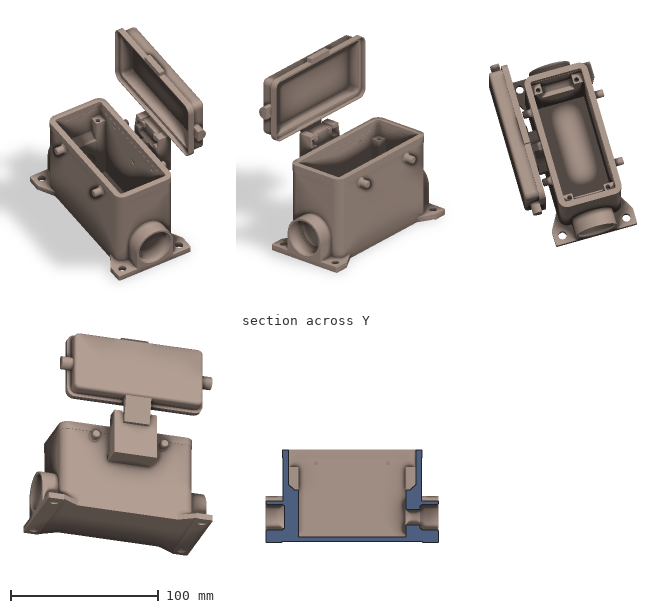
import cadquery as cq

length = 117.0
height = 123.8

foot_thickness = 4.1
foot_half_width = 28.6
foot_straight_end = 47.5
foot_taper_end = 35.8
foot_corner_radius = 1.0
underside_relief = 0.5
mount_hole_dia = 5.6
mount_hole_x = 52.6
mount_hole_y = 22.5

body_half_x = 47.0
body_half_y = 21.9
body_top = 63.1
body_corner_radius = 5.8
rim_height = 5.5
rim_overhang = 0.2
cavity_half_x = 43.2
cavity_half_y = 18.1
cavity_corner_radius = 1.5
cavity_step = 0.1
floor_top = foot_thickness

post_length = 7.0
post_width = 7.0
post_top = 51.2
post_edge_radius = 1.0
post_embed = 1.2
screw_hole_dia = 3.3
screw_hole_depth = 9.9
screw_hole_x = 38.7
screw_hole_y = 13.5
block_low_top = 35.9
block_high_top = 39.6
block_slope_run = 4.1

entry_z = 17.3
entry_radius = 14.2
bore_radius = 12.4
bore_chamfer = 0.5
bore_depth = 11.5
bore_step_radius = 11.9
bore_step_depth = 12.3
wire_hole_radius = 10.4

peg_x = 24.4
peg_z = 53.6
peg_tip_y = 28.3
peg_radius = 2.6
peg_base_radius = 3.8
peg_cone_length = 1.2
peg_tip_chamfer = 0.5
peg_rivet_radius = 1.2
hinge_rivet_radius = 1.9
hinge_rivet_z = 41.6
rivet_recess = 0.4

bracket_half_x = 15.0
bracket_back = 39.1
bracket_bottom = 36.0
bracket_top = 68.0
bracket_front_top = 29.6
bracket_front = 28.2
bracket_slope_bottom = 57.7
bracket_lip_y = 23.3
bracket_floor_top = 37.9
slab_half_x = 9.3
slab_top = 66.6
slab_front = 31.7
bracket_wall = 1.2
side_pocket_bottom = 60.0
side_pocket_top = 65.3
side_pocket_back = 34.0
stub_front = 30.2
stub_inner_x = 6.0
stub_outer_x = 9.0
stub_bottom = 62.4
stub_top = 66.1

web_top_half_x = 2.5
web_half_x = 14.7
web_top = 56.7
web_curve_start = (5.5, 49.3)
web_curve_mid = (7.4, 45.9)
web_curve_end = (10.8, 43.7)
web_side_top = 41.1

lid_z = 97.6
lid_front = 32.9
lid_back = 46.7
flange_thickness = 4.2
flange_half_x = 48.1
flange_half_z = 22.9
flange_corner_radius = 5.6
lid_half_x = 45.7
lid_half_z = 20.8
lid_corner_radius = 3.6
lid_back_fillet = 1.9
lip_width = 0.7
lip_depth = 2.8
lid_cavity_half_x = 44.7
lid_cavity_half_z = 19.4
lid_cavity_corner_radius = 2.5
lid_back_wall = 1.7
tab_width = 19.2
lug_end_x = 53.3
lug_radius = 4.5
lug_y = 38.9
arm_width = 18.1
arm_bottom = 58.8
arm_bottom_back = 41.8
arm_top_back = 45.8
arm_front = 39.6
arm_overlap = 1.0

foot_end = length / 2
flange_back = lid_front + flange_thickness
lid_bottom = lid_z - lid_half_z
flange_bottom = lid_z - flange_half_z


def box(x0, x1, y0, y1, z0, z1):
    """Block given by its limits along each axis."""
    return cq.Workplane("XY").box(x1 - x0, y1 - y0, z1 - z0, centered=False).translate((x0, y0, z0))


def rounded_column(half_x, half_y, z0, z1, radius):
    """Vertical rounded-rectangle column about the body axis."""
    column = box(-half_x, half_x, -half_y, half_y, z0, z1)
    return column.edges("|Z").fillet(radius)


def rounded_panel(half_x, half_z, y0, y1, radius):
    """Upright rounded-rectangle panel about the lid centre."""
    panel = box(-half_x, half_x, y0, y1, lid_z - half_z, lid_z + half_z)
    return panel.edges("|Y").fillet(radius)


def cylinder_x(x0, x1, y, z, radius):
    """Cylinder along X."""
    return cq.Workplane("YZ", origin=(x0, 0, 0)).center(y, z).circle(radius).extrude(x1 - x0)


def side_profile(points, half_width):
    """Y-Z outline extruded symmetrically along X."""
    return cq.Workplane("YZ").polyline(points).close().extrude(half_width, both=True)


def both_ends(shape):
    """The shape together with its mirror image in X."""
    return shape.union(shape.mirror("YZ"))


def make_foot():
    """Tapered foot at the +X end with two mounting holes."""
    outline = [
        (foot_taper_end, body_half_y),
        (foot_straight_end, foot_half_width),
        (foot_end, foot_half_width),
        (foot_end, -foot_half_width),
        (foot_straight_end, -foot_half_width),
        (foot_taper_end, -body_half_y),
    ]
    foot = cq.Workplane("XY").polyline(outline).close().extrude(foot_thickness)
    foot = foot.edges("|Z and >X").fillet(foot_corner_radius)
    relief = box(0, foot_straight_end, -foot_half_width, foot_half_width, 0, underside_relief)
    holes = (
        cq.Workplane("XY")
        .pushPoints([(mount_hole_x, -mount_hole_y), (mount_hole_x, mount_hole_y)])
        .circle(mount_hole_dia / 2)
        .extrude(foot_thickness)
    )
    return foot.cut(relief).cut(holes)


def make_entry():
    """Cable entry hub at the +X end: round above its axis, straight-sided below."""
    round_part = cylinder_x(cavity_half_x, foot_end, 0, entry_z, entry_radius)
    base = box(cavity_half_x, foot_end, -entry_radius, entry_radius, underside_relief, entry_z)
    return round_part.union(base)


def make_bore():
    """Stepped blind bore with a chamfered mouth, as a solid of revolution about the entry axis."""
    mouth_radius = bore_radius + bore_chamfer
    outline = [
        (foot_end, 0),
        (foot_end, mouth_radius),
        (foot_end - bore_chamfer, bore_radius),
        (foot_end - bore_depth, bore_radius),
        (foot_end - bore_depth, bore_step_radius),
        (foot_end - bore_step_depth, bore_step_radius),
        (foot_end - bore_step_depth, 0),
    ]
    bore = cq.Workplane("XY").polyline(outline).close().revolve(360, (0, 0, 0), (1, 0, 0))
    return bore.translate((0, 0, entry_z))


def make_post(side):
    """Screw post in the +X corner on the given Y side."""
    inner_x = cavity_half_x - post_length
    inner_y = cavity_half_y - post_width
    outer_x = cavity_half_x + post_embed
    outer_y = cavity_half_y + post_embed
    post = box(inner_x, outer_x, inner_y, outer_y, floor_top, post_top)
    post = post.edges("|Z and <X and <Y").fillet(post_edge_radius)
    hole = (
        cq.Workplane("XY", origin=(screw_hole_x, screw_hole_y, post_top - screw_hole_depth))
        .circle(screw_hole_dia / 2)
        .extrude(screw_hole_depth)
    )
    post = post.cut(hole)
    return post if side > 0 else post.mirror("XZ")


def make_end_block():
    """Block between two posts, its top rising towards the end wall."""
    inner_x = cavity_half_x - post_length
    half_width = cavity_half_y - post_width
    outline = [
        (inner_x, floor_top),
        (inner_x, block_low_top),
        (cavity_half_x - block_slope_run, block_low_top),
        (cavity_half_x, block_high_top),
        (cavity_half_x, floor_top),
    ]
    return cq.Workplane("XZ").polyline(outline).close().extrude(half_width, both=True)


def make_peg(x, side):
    """Locking peg with a conical foot, on the wall at the given Y side."""
    cone_end = body_half_y + peg_cone_length
    outline = [
        (0, body_half_y),
        (peg_base_radius, body_half_y),
        (peg_radius, cone_end),
        (peg_radius, peg_tip_y - peg_tip_chamfer),
        (peg_radius - peg_tip_chamfer, peg_tip_y),
        (0, peg_tip_y),
    ]
    peg = cq.Workplane("XY").polyline(outline).close().revolve(360, (0, 0, 0), (0, 1, 0))
    if side < 0:
        peg = peg.mirror("XZ")
    return peg.translate((x, 0, peg_z))


def rivet_recesses():
    """Shallow rivet recesses in the inside faces of the long walls."""
    reach = cavity_half_y + rivet_recess
    pegs = (
        cq.Workplane("XZ")
        .pushPoints([(-peg_x, peg_z), (peg_x, peg_z)])
        .circle(peg_rivet_radius)
        .extrude(reach, both=True)
    )
    hinge = cq.Workplane("XZ").center(0, hinge_rivet_z).circle(hinge_rivet_radius).extrude(-reach)
    return pegs.union(hinge)


def make_body():
    """Box with feet, cable entries, posts and pegs."""
    body = rounded_column(body_half_x, body_half_y, underside_relief, body_top, body_corner_radius)
    rim = rounded_column(
        body_half_x + rim_overhang,
        body_half_y + rim_overhang,
        body_top - rim_height,
        body_top,
        body_corner_radius + rim_overhang,
    )
    mouth = rounded_column(
        cavity_half_x, cavity_half_y, body_top - rim_height, body_top, cavity_corner_radius
    )
    cavity = rounded_column(
        cavity_half_x - cavity_step,
        cavity_half_y - cavity_step,
        floor_top,
        body_top,
        cavity_corner_radius + cavity_step,
    )
    body = body.union(rim).union(both_ends(make_foot())).union(both_ends(make_entry()))
    body = body.cut(mouth).cut(cavity).cut(both_ends(make_bore()))
    body = body.union(both_ends(make_end_block()))
    for side in (-1, 1):
        body = body.union(both_ends(make_post(side)))
        body = body.union(both_ends(make_peg(peg_x, side)))
    wire_hole = cylinder_x(-foot_end, post_length - cavity_half_x, 0, entry_z, wire_hole_radius)
    return body.cut(wire_hole).cut(rivet_recesses())


def make_bracket():
    """Bracket with a lowered middle slab between two hollow side blocks."""
    bracket = side_profile(
        [
            (bracket_back, bracket_bottom),
            (bracket_back, bracket_top),
            (bracket_front_top, bracket_top),
            (bracket_front, bracket_slope_bottom),
            (bracket_front, bracket_floor_top),
            (bracket_lip_y, bracket_floor_top),
            (bracket_lip_y, bracket_bottom),
        ],
        bracket_half_x,
    )
    above_slab = box(-slab_half_x, slab_half_x, bracket_front, bracket_back, slab_top, bracket_top)
    ahead_of_slab = box(-slab_half_x, slab_half_x, bracket_front, slab_front, web_top, slab_top)
    side_pocket = box(
        slab_half_x,
        bracket_half_x - bracket_wall,
        bracket_front,
        side_pocket_back,
        side_pocket_bottom,
        side_pocket_top,
    )
    stub = box(stub_inner_x, stub_outer_x, stub_front, slab_front, stub_bottom, stub_top)
    bracket = bracket.cut(above_slab).cut(ahead_of_slab).cut(both_ends(side_pocket))
    return bracket.union(both_ends(stub))


def make_web():
    """Web from bracket to body, flat on top and flaring out to both sides in concave curves."""
    half_web = (
        cq.Workplane("XZ", origin=(0, bracket_front, 0))
        .moveTo(0, bracket_floor_top)
        .lineTo(0, web_top)
        .lineTo(web_top_half_x, web_top)
        .lineTo(*web_curve_start)
        .threePointArc(web_curve_mid, web_curve_end)
        .lineTo(web_half_x, web_side_top)
        .lineTo(web_half_x, bracket_floor_top)
        .close()
        .extrude(bracket_front - body_half_y)
    )
    return both_ends(half_web)


def make_lid():
    """Hollow lid with a seat for the box rim, a finger tab and two side lugs."""
    flange = rounded_panel(flange_half_x, flange_half_z, lid_front, flange_back, flange_corner_radius)
    shell = rounded_panel(lid_half_x, lid_half_z, lid_front, lid_back, lid_corner_radius)
    shell = shell.faces(">Y").edges().fillet(lid_back_fillet)
    seat = rounded_panel(
        flange_half_x - lip_width,
        flange_half_z - lip_width,
        lid_front,
        lid_front + lip_depth,
        flange_corner_radius - lip_width,
    )
    cavity = rounded_panel(
        lid_cavity_half_x,
        lid_cavity_half_z,
        lid_front,
        lid_back - lid_back_wall,
        lid_cavity_corner_radius,
    )
    tab = box(-tab_width / 2, tab_width / 2, lid_front, flange_back, lid_z + lid_half_z, height)
    lug = cylinder_x(lid_cavity_half_x, lug_end_x, lug_y, lid_z, lug_radius)
    lug_front = box(
        lid_cavity_half_x, lug_end_x, lid_front, flange_back, lid_z - lug_radius, lid_z + lug_radius
    )
    lugs = both_ends(lug.cut(lug_front))
    return flange.union(shell).union(tab).union(lugs).cut(seat).cut(cavity)


def make_arm():
    """Tapered arm from the lid's lower edge down into the bracket."""
    joint_y = bracket_back - arm_overlap
    return side_profile(
        [
            (flange_back, lid_bottom),
            (arm_top_back, lid_bottom),
            (arm_bottom_back, arm_bottom),
            (joint_y, arm_bottom),
            (joint_y, slab_top),
            (arm_front, slab_top),
            (arm_front, flange_bottom),
            (flange_back, flange_bottom),
        ],
        arm_width / 2,
    )


result = (
    make_body()
    .union(make_web())
    .union(make_bracket())
    .union(make_arm())
    .union(make_lid())
)